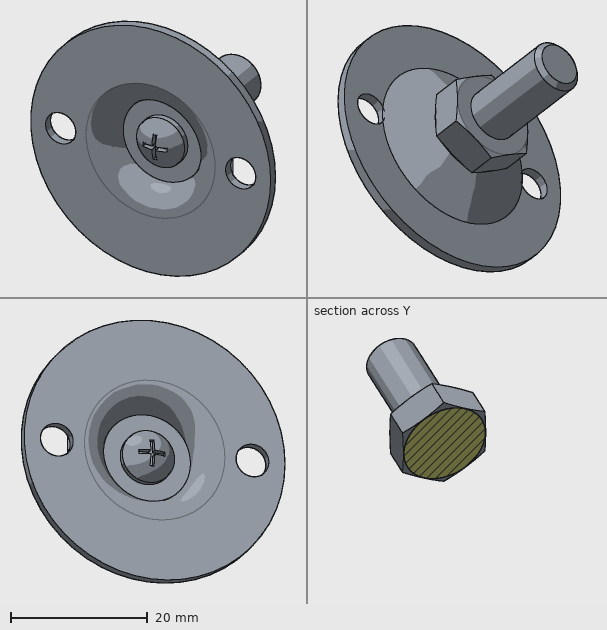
import cadquery as cq
import math


flange_radius = 20.0
flange_thickness = 1.5
hole_diameter = 5.0
hole_offset = 15.0

cone_base_radius = 12.9
cone_top_radius = 6.45
cone_top = 5.7
dish_floor_radius = 6.75
dish_lip_radius = 4.0
dish_depth = dish_lip_radius

head_radius = 4.0
head_rim_height = 1.0
head_height = 3.1
slot_length = 4.0
slot_width = 0.6
slot_depth = 1.2

nut_flats = 13.0
nut_bottom = 5.8
nut_top = 11.1
nut_corner_height = 0.3
nut_face_radius = nut_flats / 2

stud_radius = 4.0
stud_end = 27.0
stud_chamfer = 0.8


def revolve_about_y(profile):
    """Close a (radius, height) outline and turn it about the Y axis."""
    return profile.close().revolve(360, (0, 0, 0), (0, 1, 0))


def disc(radius, start, end):
    """Cylinder on the Y axis between two heights."""
    return cq.Workplane("XZ", origin=(0, start, 0)).circle(radius).extrude(start - end)


def make_plate():
    """Round flange with two fixing holes, its cone and the dish."""
    flange = disc(flange_radius, 0, flange_thickness)
    holes = (
        cq.Workplane("XZ")
        .pushPoints([(-hole_offset, 0), (hole_offset, 0)])
        .circle(hole_diameter / 2)
        .extrude(-flange_thickness)
    )
    cone = revolve_about_y(
        cq.Workplane("XY")
        .lineTo(cone_base_radius, 0)
        .lineTo(cone_base_radius, flange_thickness)
        .lineTo(cone_top_radius, cone_top)
        .lineTo(0, cone_top)
    )
    dish = revolve_about_y(
        cq.Workplane("XY")
        .lineTo(dish_floor_radius + dish_lip_radius, 0)
        .radiusArc((dish_floor_radius, dish_lip_radius), dish_lip_radius)
        .lineTo(0, dish_depth)
    )
    return flange.union(cone).cut(holes).cut(dish)


def make_head():
    """Domed screw head standing on the dish floor, with a cross slot."""
    head_top = dish_depth - head_height
    rim = dish_depth - head_rim_height
    dome_height = head_height - head_rim_height
    dome_radius = (head_radius**2 + dome_height**2) / (2 * dome_height)
    head = revolve_about_y(
        cq.Workplane("XY")
        .moveTo(0, head_top)
        .radiusArc((head_radius, rim), -dome_radius)
        .lineTo(head_radius, dish_depth)
        .lineTo(0, dish_depth)
    )
    slot_center = (0, head_top + slot_depth / 2, 0)
    for size_x, size_z in [(slot_length, slot_width), (slot_width, slot_length)]:
        head = head.cut(cq.Workplane("XY").box(size_x, slot_depth, size_z).translate(slot_center))
    return head


def make_nut():
    """Hexagon nut with flats facing X and corners trimmed by a cone at both ends."""
    corner_radius = nut_flats / 2 / math.cos(math.radians(30))
    prism = (
        cq.Workplane("XZ", origin=(0, nut_bottom, 0))
        .polygon(6, 2 * corner_radius)
        .extrude(nut_bottom - nut_top)
        .rotate((0, 0, 0), (0, 1, 0), 30)
    )
    trim = revolve_about_y(
        cq.Workplane("XY")
        .moveTo(0, nut_bottom)
        .lineTo(nut_face_radius, nut_bottom)
        .lineTo(corner_radius, nut_bottom + nut_corner_height)
        .lineTo(corner_radius, nut_top - nut_corner_height)
        .lineTo(nut_face_radius, nut_top)
        .lineTo(0, nut_top)
    )
    collar = disc(cone_top_radius, cone_top, nut_bottom)
    return prism.intersect(trim).union(collar)


def make_stud():
    """Plain stud with a chamfered tip."""
    return disc(stud_radius, cone_top, stud_end).faces(">Y").chamfer(stud_chamfer)


result = make_plate().union(make_head()).union(make_nut()).union(make_stud())